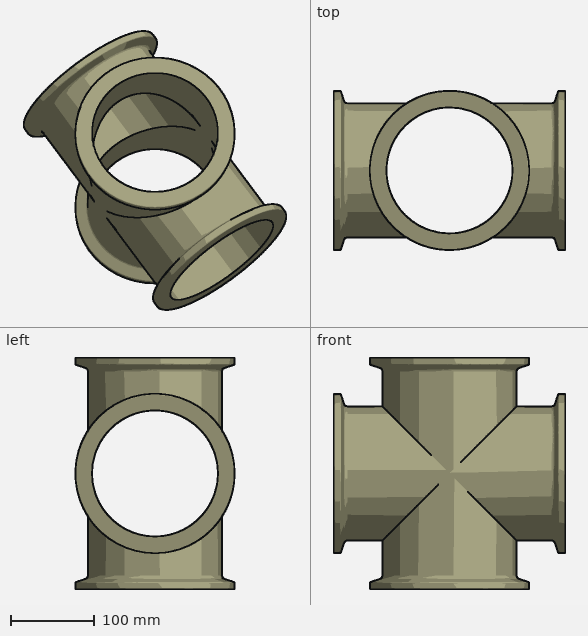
import cadquery as cq
import math

overall_length = 276.0
half_length = overall_length / 2
bore_radius = 150.0 / 2
pipe_radius = 160.0 / 2
flange_radius = 190.0 / 2

rim_thickness = 8.5
taper_angle = 18.0
face_fillet = 1.5
rim_back_fillet = 2.0
root_fillet = 4.1


def circle_at(height):
    """Selector for the circular edges lying at one height."""
    margin = 0.3
    reach = 2 * flange_radius
    return cq.selectors.BoxSelector(
        (-reach, -reach, height - margin),
        (reach, reach, height + margin),
        boundingbox=True,
    )


def flanged_half_pipe():
    """Solid of revolution about Z from the centre to the upper end face."""
    rim_back = half_length - rim_thickness
    taper_length = (flange_radius - pipe_radius) * math.tan(math.radians(taper_angle))
    root_height = rim_back - taper_length
    body = (
        cq.Workplane("XZ")
        .lineTo(pipe_radius, 0)
        .lineTo(pipe_radius, root_height)
        .lineTo(flange_radius, rim_back)
        .lineTo(flange_radius, half_length)
        .lineTo(0, half_length)
        .close()
        .revolve(360, (0, 0, 0), (0, 1, 0))
    )
    body = body.edges(circle_at(root_height)).fillet(root_fillet)
    body = body.edges(circle_at(rim_back)).fillet(rim_back_fillet)
    return body.edges(circle_at(half_length)).fillet(face_fillet)


def turn_to_x(shape):
    return shape.rotate((0, 0, 0), (0, 1, 0), 90)


upper_half = flanged_half_pipe()
pipe = upper_half.union(upper_half.mirror("XY"), clean=True)
cross = pipe.union(turn_to_x(pipe))

bore = cq.Workplane("XY").circle(bore_radius).extrude(half_length, both=True)
result = cross.cut(bore).cut(turn_to_x(bore))